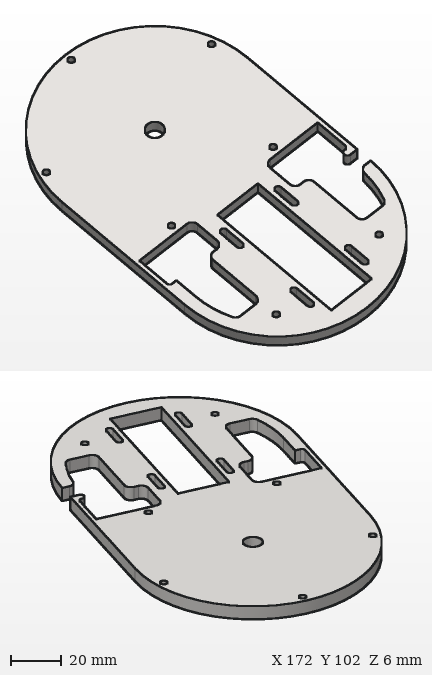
import cadquery as cq
import math

length = 172.0
width = 102.0
thickness = 6.0
end_radius = width / 2
end_center_x = length / 2 - end_radius

screw_diameter = 3.0
center_hole_diameter = 7.9
rim_circle_radius = 47.6
rim_hole_spacing = 72.0
inner_screw_x, inner_screw_y = 3.5, 27.9
outer_screw_x, outer_screw_y = 63.5, 28.2

window_left, window_right = 12.2, 77.0
window_width = 22.2
slot_length = 12.2
slot_width = 3.0
slot_xs = (24.5, 64.5)
slot_y = 15.0

pocket_left = 7.0
pocket_step_x = 24.0
pocket_right = 54.2
pocket_inner_y = 20.0
pocket_step_y = 27.7
pocket_outer_y = 48.8
pocket_arc_radius = 45.0
pocket_fillet = 3.0
notch_fillet = 1.4

hook_right = 27.3
hook_tip_y = 45.5
hook_radius = (hook_right - pocket_step_x) / 2
opening_right = end_center_x
opening_outer_y = width / 2 + 1.7


def prism(sketch):
    return sketch.extrude(thickness)


def pocket_arc_point(x):
    """Point at x on the curved outer wall of a pocket."""
    return (x, math.sqrt(pocket_arc_radius**2 - (x - end_center_x) ** 2))


def fillet_corner(solid, corner, radius):
    """Round the vertical edge standing at the given corner."""
    edge = cq.selectors.NearestToPointSelector((*corner, thickness / 2))
    return solid.edges("|Z").edges(edge).fillet(radius)


def side_pocket(open_to_rim):
    """Stepped pocket on the +Y side, optionally opened through the rim behind a hook."""
    outer_right = pocket_arc_point(pocket_right)
    arc_start = (end_center_x, pocket_arc_radius)
    outline = (
        cq.Workplane()
        .moveTo(pocket_left, pocket_inner_y)
        .lineTo(pocket_step_x, pocket_inner_y)
        .lineTo(pocket_step_x, pocket_step_y)
        .lineTo(pocket_right, pocket_step_y)
        .lineTo(*outer_right)
        .threePointArc(pocket_arc_point((end_center_x + pocket_right) / 2), arc_start)
    )
    if open_to_rim:
        hook_arc_y = hook_tip_y + hook_radius
        outline = (
            outline.lineTo(opening_right, opening_outer_y)
            .lineTo(hook_right, opening_outer_y)
            .lineTo(hook_right, hook_arc_y)
            .threePointArc((hook_right - hook_radius, hook_tip_y), (pocket_step_x, hook_arc_y))
        )
    else:
        outline = outline.lineTo(pocket_step_x, pocket_arc_radius)
    outline = outline.lineTo(pocket_step_x, pocket_outer_y).lineTo(pocket_left, pocket_outer_y).close()

    corners = [
        ((pocket_left, pocket_inner_y), pocket_fillet),
        ((pocket_step_x, pocket_inner_y), pocket_fillet),
        ((pocket_step_x, pocket_step_y), pocket_fillet),
        ((pocket_right, pocket_step_y), pocket_fillet),
        (outer_right, pocket_fillet),
        ((pocket_step_x, pocket_outer_y), notch_fillet),
    ]
    if open_to_rim:
        corners.append((arc_start, pocket_fillet))
    pocket = prism(outline)
    for corner, radius in corners:
        pocket = fillet_corner(pocket, corner, radius)
    return pocket


def screw_holes():
    points = []
    for step in (-1, 0, 1):
        angle = math.radians(180 + step * rim_hole_spacing)
        x = -end_center_x + rim_circle_radius * math.cos(angle)
        points.append((x, rim_circle_radius * math.sin(angle)))
    for side in (-1, 1):
        points.append((inner_screw_x, side * inner_screw_y))
        points.append((outer_screw_x, side * outer_screw_y))
    return prism(cq.Workplane().pushPoints(points).circle(screw_diameter / 2))


def center_hole():
    return prism(cq.Workplane().center(-end_center_x, 0).circle(center_hole_diameter / 2))


def window():
    window_center_x = (window_left + window_right) / 2
    return prism(cq.Workplane().center(window_center_x, 0).rect(window_right - window_left, window_width))


def strap_slots():
    points = [(x, side * slot_y) for x in slot_xs for side in (-1, 1)]
    return prism(cq.Workplane().pushPoints(points).slot2D(slot_length, slot_width))


result = prism(cq.Workplane().slot2D(length, width))
result = result.cut(screw_holes()).cut(center_hole()).cut(window()).cut(strap_slots())
result = result.cut(side_pocket(open_to_rim=True))
result = result.cut(side_pocket(open_to_rim=False).mirror("XZ"))